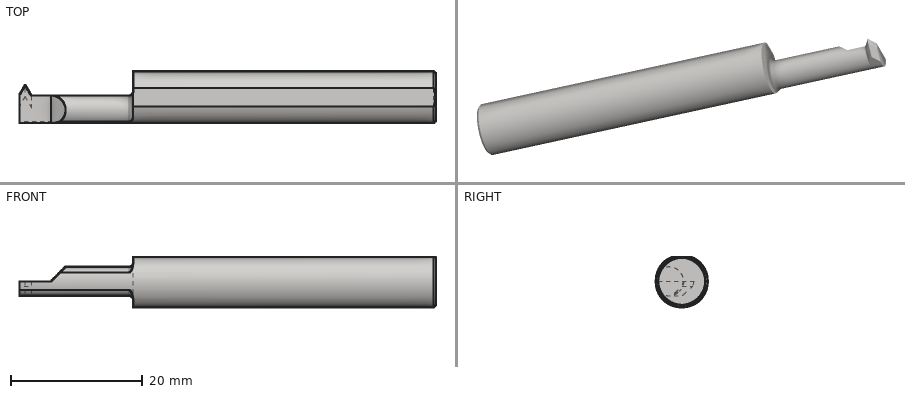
import cadquery as cq
import math

length = 63.5
shank_radius = 3.97
shank_start = 17.35
flat_height = 3.715
rear_chamfer = 0.4

neck_radius = 2.2
neck_side = 0.25
neck_axis = neck_side - neck_radius
neck_fillet = 0.65

rake_length = 4.8

corner_y = 0.4
tip_x = 0.9
tip_y = 1.875
root_x = 1.85

land_depth = 0.75
land_shift = 0.22
relief_depth = neck_radius
relief_shift = 1.81


def make_shank():
    shank = cq.Workplane("YZ", origin=(shank_start, 0, 0)).circle(shank_radius)
    shank = shank.extrude(length - shank_start).faces(">X").chamfer(rear_chamfer)
    flat_cut = cq.Workplane("XY", origin=(0, 0, flat_height)).rect(2 * length, 2 * shank_radius)
    return shank.cut(flat_cut.extrude(shank_radius))


def make_neck():
    """Revolve the neck with its flare into the shank, trimmed to the shank radius."""
    flare_start = shank_start - neck_fillet
    arc_offset = neck_fillet * math.sqrt(0.5)
    arc_mid = (flare_start + arc_offset, neck_radius + neck_fillet - arc_offset)
    neck = (
        cq.Workplane("XY", origin=(0, neck_axis, 0))
        .lineTo(0, neck_radius)
        .lineTo(flare_start, neck_radius)
        .threePointArc(arc_mid, (shank_start, neck_radius + neck_fillet))
        .lineTo(shank_start, 0)
        .close()
        .revolve(360, (0, 0, 0), (1, 0, 0))
    )
    envelope = cq.Workplane("YZ").circle(shank_radius).extrude(shank_start)
    return neck.intersect(envelope)


def cut_rake(body):
    rake = (
        cq.Workplane("XZ")
        .polyline([(0, 0), (rake_length, 0), (rake_length + shank_radius, shank_radius), (0, shank_radius)])
        .close()
        .extrude(shank_radius, both=True)
    )
    return body.cut(rake)


def tip_outline(depth, shift):
    """Tip outline at a depth below the rake face, with its edge drawn back along Y."""
    points = [
        (0, neck_axis),
        (0, corner_y - shift),
        (tip_x, tip_y - shift),
        (root_x, neck_side - shift),
        (root_x, neck_axis),
    ]
    return cq.Wire.makePolygon([cq.Vector(x, y, -depth) for x, y in points], close=True)


def add_cutting_tip(body):
    """Replace the +Y half of the neck's end by the relieved cutting tip."""
    half_cut = cq.Workplane("XY").box(root_x, shank_radius, 2 * shank_radius, centered=(False, False, True))
    body = body.cut(half_cut.translate((0, neck_axis, 0)))
    edge = tip_outline(0, 0)
    land = tip_outline(land_depth, land_shift)
    heel = tip_outline(relief_depth, relief_shift)
    for upper, lower in [(edge, land), (land, heel)]:
        body = body.union(cq.Workplane(cq.Solid.makeLoft([upper, lower], True)))
    return body


neck = add_cutting_tip(cut_rake(make_neck()))
result = make_shank().union(neck)